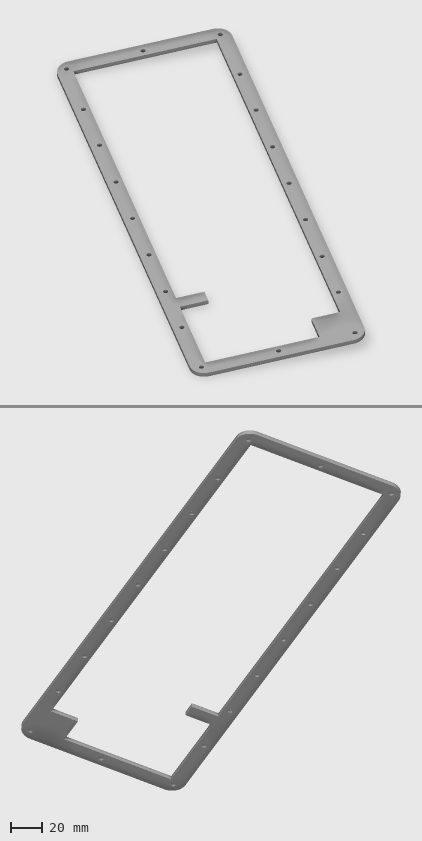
import cadquery as cq

length = 326.0
width = 116.3
thickness = 3.0
tilt_degrees = 3.0
corner_radius = 10.0
rim_width = 10.5

corner_pad_size = 19.2
pad_overlap = 2.0
tab_width = 9.0
tab_reach = 19.0
tab_center_x = 89.5

hole_diameter = 3.3
row_hole_x = (38.0, 76.5, 114.0)
row_hole_y = 52.0
corner_hole_x = 156.0
corner_hole_y = 51.0
side_hole_x = 157.0

window_length = length - 2 * rim_width
window_width = width - 2 * rim_width


def box_between(x_min, x_max, y_min, y_max):
    """Full-thickness block centred on the mid-plane of the plate."""
    return (
        cq.Workplane("XY")
        .center((x_min + x_max) / 2, (y_min + y_max) / 2)
        .box(x_max - x_min, y_max - y_min, thickness)
    )


def make_frame():
    outer = cq.Workplane("XY").box(length, width, thickness).edges("|Z").fillet(corner_radius)
    window = cq.Workplane("XY").box(window_length, window_width, thickness)
    return outer.cut(window)


def make_corner_pad():
    """Square pad filling the back right corner of the window, seated into the rim."""
    right = window_length / 2
    back = window_width / 2
    return box_between(right - corner_pad_size, right + pad_overlap, back - corner_pad_size, back + pad_overlap)


def make_tab():
    """Finger standing on the front rim and pointing into the window."""
    front = -window_width / 2
    return box_between(
        tab_center_x - tab_width / 2,
        tab_center_x + tab_width / 2,
        front - rim_width / 2,
        front + tab_reach,
    )


def hole_positions():
    positions = [(-side_hole_x, 0), (side_hole_x, 0)]
    for side in (-1, 1):
        positions.append((0, side * row_hole_y))
        for end in (-1, 1):
            positions.append((end * corner_hole_x, side * corner_hole_y))
            for x in row_hole_x:
                positions.append((end * x, side * row_hole_y))
    return positions


def make_holes():
    return (
        cq.Workplane("XY")
        .pushPoints(hole_positions())
        .circle(hole_diameter / 2)
        .extrude(thickness, both=True)
    )


flat_plate = make_frame().union(make_corner_pad()).union(make_tab()).cut(make_holes())
result = flat_plate.rotate((0, 0, 0), (1, 0, 0), tilt_degrees)